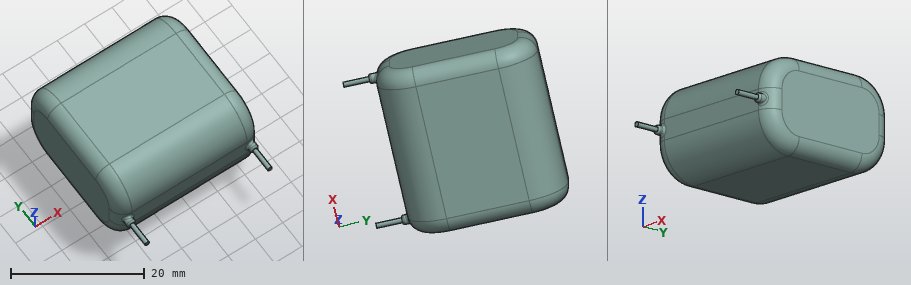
import cadquery as cq

overall_depth = 29.7
body_width = 26.0
body_height = 15.3
lead_length = 5.0
body_depth = overall_depth - lead_length

long_edge_radius = 6.0
end_edge_radius = 2.5

lead_diameter = 0.8
lead_spacing = 22.45
collar_diameter = 1.48
collar_length = 1.0
collar_end_radius = 0.33
collar_root_radius = 0.35

front_y = -body_depth / 2
lead_tip_y = front_y - lead_length
collar_tip_y = front_y - collar_length
lead_centers = (-lead_spacing / 2, lead_spacing / 2)
embedded_y = front_y + end_edge_radius


def make_body():
    """Rounded block with soft end faces."""
    block = cq.Workplane("XY").box(body_width, body_depth, body_height)
    block = block.edges("|X").fillet(long_edge_radius)
    return block.faces("<X or >X").edges().fillet(end_edge_radius)


def rod_along_y(x, tip_y, diameter):
    """Cylinder running from inside the body out to tip_y."""
    plane = cq.Workplane("XZ", origin=(x, embedded_y, 0))
    return plane.circle(diameter / 2).extrude(embedded_y - tip_y)


def add_collars(body):
    """Collars blended into the body, with rounded outer ends."""
    for x in lead_centers:
        collar = rod_along_y(x, collar_tip_y, collar_diameter)
        body = body.union(collar.faces("<Y").edges().fillet(collar_end_radius))

    reach = collar_diameter / 2 + collar_root_radius
    for x in lead_centers:
        root_zone = cq.selectors.BoxSelector(
            (x - reach, collar_tip_y + collar_end_radius + collar_root_radius / 2, -reach),
            (x + reach, embedded_y, reach),
            boundingbox=True,
        )
        body = body.edges(root_zone).fillet(collar_root_radius)
    return body


def add_leads(body):
    """Straight wires ending at the front of the part."""
    for x in lead_centers:
        body = body.union(rod_along_y(x, lead_tip_y, lead_diameter))
    return body


result = add_leads(add_collars(make_body()))